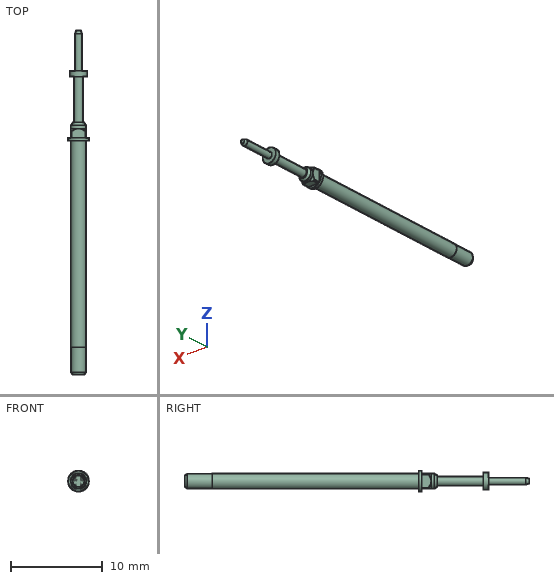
import cadquery as cq

total_length = 37.5

tip_diameter = 0.8
tip_chamfer = 0.38
tip_face_diameter = 0.52
collar_diameter = 1.9
collar_start = 4.42
collar_thickness = 0.6
neck_diameter = 1.0
shoulder_start = 10.0
shoulder_start_diameter = 1.25
shoulder_length = 0.35
flange_start = 11.7
flange_thickness = 0.35
flange_diameter = 2.3
body_diameter = 1.7
end_sleeve_start = 34.5
end_sleeve_diameter = 1.65
end_chamfer = 0.3
end_face_diameter = 1.25

square_width = body_diameter
square_corner_diameter = 2.2
cone_start = 10.7
cone_end = cone_start + (square_corner_diameter - square_width) / 2


def turned(stations):
    """Revolve about Y a profile given as (distance from thin tip, diameter) pairs."""
    last = stations[-1][0]
    first = stations[0][0]
    half_section = [(diameter / 2, total_length / 2 - distance) for distance, diameter in stations]
    axis_points = [(0, total_length / 2 - last), (0, total_length / 2 - first)]
    profile = cq.Workplane("XY").polyline(half_section + axis_points).close()
    return profile.revolve(360, (0, 0, 0), (0, 1, 0))


def thin_end():
    """Chamfered tip, stop collar, neck and sloped shoulder."""
    collar_end = collar_start + collar_thickness
    return turned([
        (0, tip_face_diameter),
        (tip_chamfer, tip_diameter),
        (collar_start, tip_diameter),
        (collar_start, collar_diameter),
        (collar_end, collar_diameter),
        (collar_end, neck_diameter),
        (shoulder_start, neck_diameter),
        (shoulder_start, shoulder_start_diameter),
        (shoulder_start + shoulder_length, square_width),
        (flange_start, square_width),
    ])


def square_section():
    """Square block with its corners and front rounded by a coned cylinder."""
    round_blank = turned([
        (cone_start, square_width),
        (cone_end, square_corner_diameter),
        (flange_start, square_corner_diameter),
    ])
    square_bar = cq.Workplane("XY").box(square_width, total_length, square_width)
    return round_blank.intersect(square_bar)


def flange_and_body():
    """Flange, long round body and its slightly slimmer, chamfered end sleeve."""
    flange_end = flange_start + flange_thickness
    return turned([
        (flange_start, flange_diameter),
        (flange_end, flange_diameter),
        (flange_end, body_diameter),
        (end_sleeve_start, body_diameter),
        (end_sleeve_start, end_sleeve_diameter),
        (total_length - end_chamfer, end_sleeve_diameter),
        (total_length, end_face_diameter),
    ])


result = thin_end().union(square_section()).union(flange_and_body())